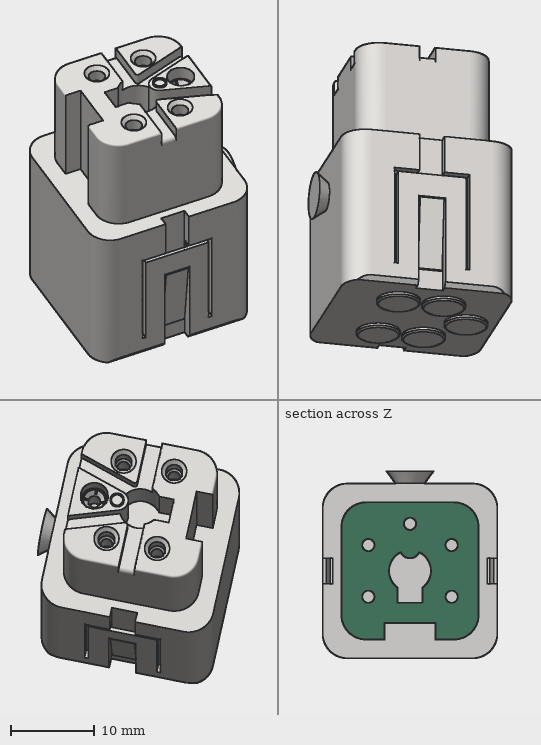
import cadquery as cq
import math

PAD_HEIGHT = 0.5
SHOULDER_Z = 20.0
TOP_Z = 32.5
MARK_HEIGHT = 0.2

BODY_SIDE = 21.0
CORNER_RADIUS = 3.0
BOTTOM_CHAMFER_DEPTH = 0.45
BOTTOM_CHAMFER_HEIGHT = 0.6

BLOCK_SIDE = 16.5
BLOCK_TOP_RADIUS = 0.25
FRONT_GROOVE_WIDTH = 6.1
FRONT_GROOVE_DEPTH = 2.0

CHANNEL_DEPTH = 1.4
CHANNEL_LIP_RADIUS = 0.5
CROSS_SLOT_WIDTH = 1.95
V_HALF_ANGLE = math.radians(18.5)
V_GROOVE_WIDTH = 1.66
CHANNEL_CORNER_RADIUS = 0.3
WEDGE_TIP_RADIUS = 1.22
WEDGE_TIP_Y = 2.73
EDGE_TOLERANCE = 0.05

POCKET_DIAMETER = 5.0
POCKET_DEPTH = 6.0
KEYWAY_WIDTH = 3.0
KEYWAY_REACH = 3.8

CONTACT_X = 5.0
CONTACT_Y = 3.1
COUNTERSINK_DIAMETER = 3.0
CONTACT_HOLE_DIAMETER = 2.0
CONTACT_BORE_DIAMETER = 1.44
CONTACT_RECESS = 2.0
CONTACT_BORE_DEPTH = 5.0

EARTH_Y = 5.65
EARTH_HOLE_DIAMETER = 3.3
EARTH_CONTACT_DIAMETER = 3.0
EARTH_MOUTH_DIAMETER = 2.6
EARTH_MOUTH_DEPTH = 0.6
EARTH_RECESS = 1.6
EARTH_GAP_DEPTH = 2.0
EARTH_SLIT_WIDTH = 0.2
RING_OUTER_DIAMETER = 1.66
RING_INNER_DIAMETER = 1.4
RING_Y = 2.85

LATCH_DEPTH = 1.2
SLIT_DEPTH = 1.0
TONGUE_WIDTH = 8.4
TONGUE_TOP_Z = 14.9
SLIT_WIDTH = 0.45
SLIT_BOTTOM_Z = 3.0
NOTCH_WIDTH = 3.1
TONGUE_RIM = 0.47
TONGUE_BACK = 0.95
RELIEF_FLOOR_Z = 12.5
WINDOW_WIDTH = 3.3
WINDOW_TOP_Z = 12.0
WINDOW_DEPTH = 1.35
RAMP_WIDTH = 2.95
RAMP_END_DEPTH = 1.0
RAMP_TOP_GAP = 0.15

SCREW_Z = 15.2
SCREW_HEAD_DIAMETER = 5.7
SCREW_NECK_DIAMETER = 3.5
SCREW_REACH = 1.49

PAD_DIAMETER = 5.25
PAD_CHAMFER = 0.2
PAD_Y = 2.8
EARTH_PAD_Y = -6.8

HALF_BODY = BODY_SIDE / 2
HALF_BLOCK = BLOCK_SIDE / 2
CHANNEL_FLOOR_Z = TOP_Z - CHANNEL_DEPTH


def rounded_block(side, bottom_z, top_z):
    """Square block with rounded vertical edges, centred on the Z axis."""
    block = cq.Workplane("XY", origin=(0, 0, bottom_z)).rect(side, side).extrude(top_z - bottom_z)
    return block.edges("|Z").fillet(CORNER_RADIUS)


def cylinder(x, y, bottom_z, top_z, diameter):
    return cq.Workplane("XY", origin=(x, y, bottom_z)).circle(diameter / 2).extrude(top_z - bottom_z)


def box_between(x_range, y_range, z_range):
    lengths = [high - low for low, high in (x_range, y_range, z_range)]
    corner = (x_range[0], y_range[0], z_range[0])
    return cq.Workplane("XY", origin=corner).box(*lengths, centered=False)


def side_profile(points, width):
    """XZ outline extruded to a width centred on Y = 0."""
    return cq.Workplane("XZ").polyline(points).close().extrude(width / 2, both=True)


def make_body():
    body = rounded_block(BODY_SIDE, PAD_HEIGHT, SHOULDER_Z)
    low_chamfer = side_profile(
        [
            (-HALF_BODY, PAD_HEIGHT),
            (-HALF_BODY + BOTTOM_CHAMFER_DEPTH, PAD_HEIGHT),
            (-HALF_BODY, PAD_HEIGHT + BOTTOM_CHAMFER_HEIGHT),
        ],
        BODY_SIDE,
    )
    return body.cut(low_chamfer).cut(low_chamfer.mirror("YZ"))


def make_block():
    block = rounded_block(BLOCK_SIDE, SHOULDER_Z, TOP_Z).faces(">Z").edges().fillet(BLOCK_TOP_RADIUS)
    half_groove = FRONT_GROOVE_WIDTH / 2
    groove = box_between(
        (-half_groove, half_groove),
        (-HALF_BLOCK, -HALF_BLOCK + FRONT_GROOVE_DEPTH),
        (SHOULDER_Z, TOP_Z),
    )
    return block.cut(groove)


def wedge_half_width(y):
    """Half width at y of the wedge whose sides are tangent to its round tip."""
    return WEDGE_TIP_RADIUS / math.cos(V_HALF_ANGLE) + (y - WEDGE_TIP_Y) * math.tan(V_HALF_ANGLE)


def make_wedge():
    """Wedge left standing between the two V grooves, from the pocket floor up."""
    tangent_y = WEDGE_TIP_Y - WEDGE_TIP_RADIUS * math.sin(V_HALF_ANGLE)
    tangent_x = wedge_half_width(tangent_y)
    back_x = wedge_half_width(HALF_BLOCK)
    outline = (
        cq.Workplane("XY", origin=(0, 0, TOP_Z - POCKET_DEPTH))
        .moveTo(-back_x, HALF_BLOCK)
        .lineTo(-tangent_x, tangent_y)
        .threePointArc((0, WEDGE_TIP_Y - WEDGE_TIP_RADIUS), (tangent_x, tangent_y))
        .lineTo(back_x, HALF_BLOCK)
        .close()
    )
    return outline.extrude(POCKET_DEPTH)


def channel_cutter():
    """Cross slot and V grooves, whose floors round down into the block walls."""
    lowest_z = CHANNEL_FLOOR_Z - CHANNEL_LIP_RADIUS
    half_slot = CROSS_SLOT_WIDTH / 2
    slot = box_between((-HALF_BLOCK, HALF_BLOCK), (-half_slot, half_slot), (lowest_z, TOP_Z))
    side_shift = V_GROOVE_WIDTH / math.cos(V_HALF_ANGLE)
    front_x = wedge_half_width(0) + side_shift
    back_x = wedge_half_width(HALF_BLOCK) + side_shift
    grooves = (
        cq.Workplane("XY", origin=(0, 0, lowest_z))
        .polyline([(-front_x, 0), (front_x, 0), (back_x, HALF_BLOCK), (-back_x, HALF_BLOCK)])
        .close()
        .extrude(TOP_Z - lowest_z)
    )
    core = rounded_block(BLOCK_SIDE, SHOULDER_Z, CHANNEL_FLOOR_Z)
    core = core.faces(">Z").edges().fillet(CHANNEL_LIP_RADIUS)
    inside_corners = cq.selectors.BoxSelector(
        (-back_x, half_slot - EDGE_TOLERANCE, lowest_z), (back_x, half_slot + EDGE_TOLERANCE, TOP_Z)
    )
    channels = slot.union(grooves)
    channels = channels.edges("|Z").edges(inside_corners).fillet(CHANNEL_CORNER_RADIUS)
    return channels.cut(core)


def pocket_cutter():
    floor_z = TOP_Z - POCKET_DEPTH
    half_key = KEYWAY_WIDTH / 2
    keyway = box_between((-half_key, half_key), (-KEYWAY_REACH, 0), (floor_z, TOP_Z))
    return cylinder(0, 0, floor_z, TOP_Z, POCKET_DIAMETER).union(keyway)


def revolved_cutter(x, y, profile):
    """Turned cutter from (radius, z) points around a vertical axis through (x, y)."""
    return cq.Workplane("XZ", origin=(x, y, 0)).polyline(profile).close().revolve(360, (0, 0), (0, 1))


def contact_cutter(x, y):
    """Countersunk hole leading to the flared bore of the contact."""
    countersink_depth = (COUNTERSINK_DIAMETER - CONTACT_HOLE_DIAMETER) / 2
    mouth_depth = (CONTACT_HOLE_DIAMETER - CONTACT_BORE_DIAMETER) / 2
    profile = [
        (0, TOP_Z),
        (COUNTERSINK_DIAMETER / 2, TOP_Z),
        (CONTACT_HOLE_DIAMETER / 2, TOP_Z - countersink_depth),
        (CONTACT_HOLE_DIAMETER / 2, TOP_Z - CONTACT_RECESS),
        (CONTACT_BORE_DIAMETER / 2, TOP_Z - CONTACT_RECESS - mouth_depth),
        (CONTACT_BORE_DIAMETER / 2, TOP_Z - CONTACT_BORE_DEPTH),
        (0, TOP_Z - CONTACT_BORE_DEPTH),
    ]
    return revolved_cutter(x, y, profile)


def earth_cutter():
    """Wide hole around the recessed earth contact, which has a flared, slit mouth."""
    contact_z = TOP_Z - EARTH_RECESS
    hole = cylinder(0, EARTH_Y, TOP_Z - EARTH_GAP_DEPTH, TOP_Z, EARTH_HOLE_DIAMETER)
    contact = cylinder(0, EARTH_Y, TOP_Z - EARTH_GAP_DEPTH, contact_z, EARTH_CONTACT_DIAMETER)
    bore = revolved_cutter(
        0,
        EARTH_Y,
        [
            (0, contact_z),
            (EARTH_MOUTH_DIAMETER / 2, contact_z),
            (CONTACT_BORE_DIAMETER / 2, contact_z - EARTH_MOUTH_DEPTH),
            (CONTACT_BORE_DIAMETER / 2, TOP_Z - CONTACT_BORE_DEPTH),
            (0, TOP_Z - CONTACT_BORE_DEPTH),
        ],
    )
    half_mouth = EARTH_MOUTH_DIAMETER / 2
    half_slit = EARTH_SLIT_WIDTH / 2
    slit_z = (TOP_Z - EARTH_GAP_DEPTH, contact_z)
    along_x = box_between(
        (-half_mouth, half_mouth), (EARTH_Y - half_slit, EARTH_Y + half_slit), slit_z
    )
    along_y = box_between(
        (-half_slit, half_slit), (EARTH_Y - half_mouth, EARTH_Y + half_mouth), slit_z
    )
    return hole.cut(contact).union(bore).union(along_x).union(along_y)


def latch_cutter():
    """Notch, U-shaped slit and ramped window of the latch on the -X side."""
    outer_x = -HALF_BODY
    inner_x = outer_x + LATCH_DEPTH
    depth_range = (outer_x, inner_x)
    half_tongue = TONGUE_WIDTH / 2
    half_outer = half_tongue + SLIT_WIDTH
    half_notch = NOTCH_WIDTH / 2
    half_window = WINDOW_WIDTH / 2

    slit_range = (outer_x, outer_x + SLIT_DEPTH)
    slit = box_between(slit_range, (-half_outer, half_outer), (SLIT_BOTTOM_Z, TONGUE_TOP_Z + SLIT_WIDTH))
    tongue = box_between(slit_range, (-half_tongue, half_tongue), (SLIT_BOTTOM_Z, TONGUE_TOP_Z))
    notch = box_between(depth_range, (-half_notch, half_notch), (TONGUE_TOP_Z, SHOULDER_Z))
    relief = side_profile(
        [
            (outer_x + TONGUE_RIM, TONGUE_TOP_Z),
            (inner_x, TONGUE_TOP_Z),
            (inner_x, RELIEF_FLOOR_Z),
            (outer_x + TONGUE_BACK, RELIEF_FLOOR_Z),
        ],
        NOTCH_WIDTH,
    )
    window_back_x = outer_x + WINDOW_DEPTH
    window = box_between((outer_x, window_back_x), (-half_window, half_window), (PAD_HEIGHT, WINDOW_TOP_Z))
    ramp = side_profile(
        [
            (outer_x, WINDOW_TOP_Z - RAMP_TOP_GAP),
            (window_back_x, WINDOW_TOP_Z - RAMP_TOP_GAP),
            (window_back_x, SLIT_BOTTOM_Z),
            (outer_x + RAMP_END_DEPTH, SLIT_BOTTOM_Z),
        ],
        RAMP_WIDTH,
    )
    return slit.cut(tongue).union(notch).union(relief).union(window.cut(ramp))


def make_screw():
    neck = cq.Workplane("XZ", origin=(0, HALF_BODY, SCREW_Z)).circle(SCREW_NECK_DIAMETER / 2)
    return neck.workplane(offset=-SCREW_REACH).circle(SCREW_HEAD_DIAMETER / 2).loft()


def make_pad(x, y):
    pad = cylinder(x, y, 0, PAD_HEIGHT, PAD_DIAMETER)
    return pad.faces("<Z").chamfer(PAD_CHAMFER)


def make_ring_mark():
    ring = cq.Workplane("XY", origin=(0, RING_Y, TOP_Z))
    return ring.circle(RING_OUTER_DIAMETER / 2).circle(RING_INNER_DIAMETER / 2).extrude(MARK_HEIGHT)


wedge = make_wedge()
latch = latch_cutter()

result = make_body().union(make_block())
result = result.cut(channel_cutter().union(pocket_cutter()).cut(wedge))
result = result.cut(latch).cut(latch.mirror("YZ"))
result = result.cut(earth_cutter())
for side in (-1, 1):
    for end in (-1, 1):
        result = result.cut(contact_cutter(side * CONTACT_X, end * CONTACT_Y))
        result = result.union(make_pad(side * CONTACT_X, end * PAD_Y))
result = result.union(make_pad(0, EARTH_PAD_Y))
result = result.union(make_ring_mark())
result = result.union(make_screw())